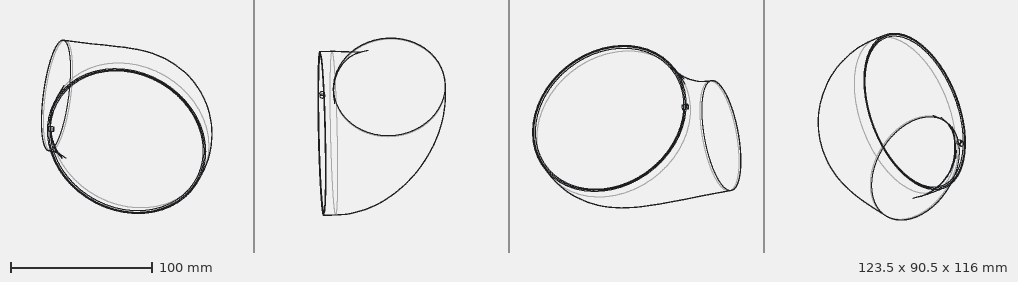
import cadquery as cq
import math

length = 123.5
depth = 90.5
wide_diameter = 116.0
narrow_diameter = 79.0

wide_radius = wide_diameter / 2
narrow_radius = narrow_diameter / 2
wide_x = length - wide_radius
narrow_y = depth - narrow_radius

wide_rim = 8.6
narrow_rim = 1.5

recess_mouth_diameter = 114.1
recess_floor_diameter = 112.0
recess_depth = 0.5

hole_diameter = 3.5
hole_depth = 3.7
hole_y = 3.1

outside_swell = 0.02
height_swell = 1.2
section_count = 7


def bend_section(angle):
    """Oval section of the bend; 0 is the wide rim, a quarter turn the narrow rim."""
    across = math.cos(angle)
    along = math.sin(angle)
    midway = math.sin(2 * angle) ** 2
    swell = 1 + outside_swell * midway
    inner_x = narrow_rim + (length - wide_diameter - narrow_rim) * across
    inner_y = wide_rim + (depth - narrow_diameter - wide_rim) * along
    outer_x = narrow_rim + (length - narrow_rim) * across * swell
    outer_y = wide_rim + (depth - wide_rim) * along * swell
    half_height = narrow_radius + (wide_radius - narrow_radius) * across**2 + height_swell * midway
    half_width = math.hypot(outer_x - inner_x, outer_y - inner_y) / 2
    plane = cq.Plane(
        origin=((inner_x + outer_x) / 2, (inner_y + outer_y) / 2, 0),
        xDir=(outer_x - inner_x, outer_y - inner_y, 0),
        normal=(inner_y - outer_y, outer_x - inner_x, 0),
    )
    return cq.Workplane(plane).ellipse(half_width, half_height).wire().val()


def make_bend():
    angles = [math.pi / 2 * i / (section_count - 1) for i in range(section_count)]
    return cq.Workplane(cq.Solid.makeLoft([bend_section(a) for a in angles]))


def make_wide_rim():
    mouth = cq.Workplane("XZ", origin=(wide_x, 0, 0))
    rim = mouth.circle(wide_radius).extrude(-wide_rim)
    recess = (
        mouth.circle(recess_mouth_diameter / 2)
        .workplane(offset=-recess_depth)
        .circle(recess_floor_diameter / 2)
        .loft()
    )
    return rim.cut(recess)


def make_narrow_rim():
    return cq.Workplane("YZ", origin=(0, narrow_y, 0)).circle(narrow_radius).extrude(narrow_rim)


def make_hole():
    rim_side = length - wide_diameter
    hole = cq.Workplane("YZ", origin=(rim_side, hole_y, 0)).circle(hole_diameter / 2)
    return hole.extrude(hole_depth, both=True)


result = make_wide_rim().union(make_bend()).union(make_narrow_rim()).cut(make_hole())